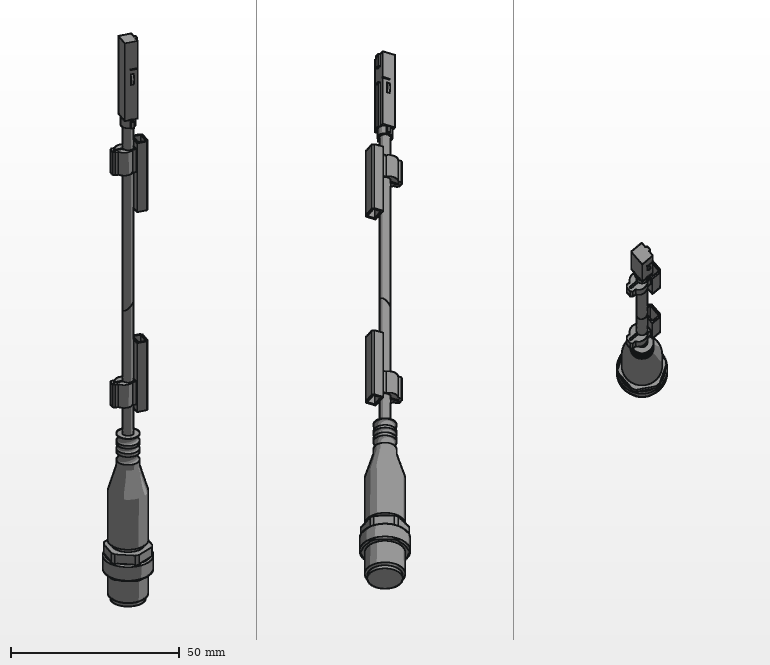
import cadquery as cq
import math

total_height = 188.3
cable_diameter = 3.4

break_height = 98.9
break_reach = cable_diameter / 2

head_width = 5.0
head_front = -2.0
head_back = 2.0
head_bottom = 162.1
ridge_width = 1.5
ridge_rise = 0.5
tip_ridge_bottom = 184.0
long_ridge_top = 178.1
dial_diameter = 6.2
dial_height = 175.7
slit_bottom = 178.9
slit_height = 0.2
slit_depth = 0.4
collar_diameter = 4.5
collar_bottom = 159.3
wing_span = 6.0
flange_front = -0.2
flange_back = 0.8
wing_bottom = 159.5
wing_top = 161.5

clip_length = 23.2
clip_width = 5.0
tube_front = 1.9
tube_back = 5.5
tube_wall = 0.5
tube_chamfer = 0.5
cuff_diameter = 5.5
cuff_center_y = -1.3
cuff_length = 7.7
cuff_inset = 2.3
stem_width = 3.8
tab_width = 2.8
tab_front = -5.3
tab_chamfer = 0.5
tab_slot_width = 0.5
tab_slot_front = -4.5
upper_clip_top = 153.8
lower_clip_bottom = 63.5

body_diameter = 12.0
boot_diameter = 7.0
boot_top = 55.5
groove_depth = 0.5
groove_spans = [(55.4, 53.1), (52.2, 50.5), (49.3, 46.7)]
cone_top = 44.8
cone_bottom = 36.3
grip_bottom = 19.5
neck_diameter = 9.6
hex_top = 18.0
hex_across_flats = 13.2
hex_corner_diameter = 14.5
coupling_top = 15.0
coupling_bottom = 9.5
coupling_diameter = 15.0
coupling_chamfer = 0.5
nose_chamfer_top = 1.7
nose_lip_height = 1.1
nose_diameter = 10.5


def box(x_min, x_max, y_min, y_max, z_min, z_max):
    """Axis-aligned box given by its limits."""
    return cq.Workplane("XY").box(
        x_max - x_min, y_max - y_min, z_max - z_min, centered=False
    ).translate((x_min, y_min, z_min))


def rod(diameter, z_min, z_max):
    """Cylinder on the Z axis."""
    return cq.Workplane("XY").workplane(offset=z_min).circle(diameter / 2).extrude(z_max - z_min)


def cable_piece(far_end):
    """Length of cable from far_end to the tilted break."""
    reach = break_reach
    outline = [
        (-reach, far_end),
        (reach, far_end),
        (reach, break_height + reach),
        (-reach, break_height - reach),
    ]
    wedge = cq.Workplane("YZ").polyline(outline).close().extrude(reach, both=True)
    z_min = min(far_end, break_height - reach)
    z_max = max(far_end, break_height + reach)
    return rod(cable_diameter, z_min, z_max).intersect(wedge)


def back_ridge(z_min, z_max):
    """Narrow raised strip along the back of the sensor head."""
    half = ridge_width / 2
    return box(-half, half, 0, head_back + ridge_rise, z_min, z_max)


def make_sensor():
    """Sensor head with collar, wings, dial and the upper part of the cable."""
    half = head_width / 2
    sensor = box(-half, half, head_front, head_back, head_bottom, total_height)
    sensor = sensor.union(back_ridge(tip_ridge_bottom, total_height))
    sensor = sensor.union(back_ridge(head_bottom, long_ridge_top))
    dial = (
        cq.Workplane("XZ", origin=(0, flange_back, dial_height))
        .circle(dial_diameter / 2)
        .extrude(flange_back - flange_front)
    )
    for side_min, side_max in [(-half, slit_depth - half), (half - slit_depth, half)]:
        slit = box(side_min, side_max, flange_front, head_back, slit_bottom, slit_bottom + slit_height)
        sensor = sensor.cut(slit)
    wings = box(-wing_span / 2, wing_span / 2, flange_front, flange_back, wing_bottom, wing_top)
    collar = rod(collar_diameter, collar_bottom, head_bottom)
    return sensor.union(dial).union(collar).union(wings).union(cable_piece(collar_bottom))


def make_clip():
    """Clip standing on Z = 0, with its cable cuff near the lower end."""
    half = clip_width / 2
    tube = box(-half, half, tube_front, tube_back, 0, clip_length)
    tube = tube.edges("|Z and >Y").chamfer(tube_chamfer)
    bore = box(
        tube_wall - half, half - tube_wall,
        tube_front + tube_wall, tube_back - tube_wall,
        0, clip_length,
    )
    cuff_end = cuff_inset + cuff_length
    cuff = rod(cuff_diameter, cuff_inset, cuff_end).translate((0, cuff_center_y, 0))
    stem = box(-stem_width / 2, stem_width / 2, cuff_center_y, tube_front, cuff_inset, cuff_end)
    tab = box(-tab_width / 2, tab_width / 2, tab_front, cuff_center_y, cuff_inset, cuff_end)
    tab = tab.edges("|Z and <Y").chamfer(tab_chamfer)
    tab_slot = box(-tab_slot_width / 2, tab_slot_width / 2, tab_slot_front, 0, cuff_inset, cuff_end)
    cable_hole = rod(cable_diameter, 0, clip_length)
    return tube.cut(bore).union(stem).union(cuff).union(tab).cut(tab_slot).cut(cable_hole)


def make_connector():
    """Boot, grip, coupling nut and nose of the connector with the lower part of the cable."""
    boot_radius = boot_diameter / 2
    body_radius = body_diameter / 2
    neck_radius = neck_diameter / 2
    nose_radius = nose_diameter / 2
    coupling_radius = coupling_diameter / 2

    profile = cq.Workplane("XZ").moveTo(0, boot_top).lineTo(boot_radius, boot_top)
    for groove_top, groove_bottom in groove_spans:
        profile = profile.lineTo(boot_radius, groove_top).threePointArc(
            (boot_radius - groove_depth, (groove_top + groove_bottom) / 2),
            (boot_radius, groove_bottom),
        )
    profile = (
        profile.lineTo(boot_radius, cone_top)
        .lineTo(body_radius, cone_bottom)
        .lineTo(body_radius, grip_bottom)
        .lineTo(neck_radius, grip_bottom)
        .lineTo(neck_radius, coupling_top)
        .lineTo(coupling_radius - coupling_chamfer, coupling_top)
        .lineTo(coupling_radius, coupling_top - coupling_chamfer)
        .lineTo(coupling_radius, coupling_bottom + coupling_chamfer)
        .lineTo(coupling_radius - coupling_chamfer, coupling_bottom)
        .lineTo(body_radius, coupling_bottom)
        .lineTo(body_radius, nose_chamfer_top)
        .lineTo(nose_radius, nose_lip_height)
        .lineTo(nose_radius, 0)
        .lineTo(0, 0)
        .close()
    )
    connector = profile.revolve(360, (0, 0, 0), (0, 1, 0))
    hexagon = (
        cq.Workplane("XY", origin=(0, 0, coupling_bottom))
        .polygon(6, hex_across_flats / math.cos(math.pi / 6))
        .extrude(hex_top - coupling_bottom)
        .intersect(rod(hex_corner_diameter, coupling_bottom, hex_top))
    )
    return connector.union(hexagon).union(cable_piece(boot_top))


sensor = make_sensor()
connector = make_connector()

clips = []
for end_height, turn in [(lower_clip_bottom, 0), (upper_clip_top, 180)]:
    clip = make_clip().rotate((0, 0, 0), (0, 1, 0), turn).translate((0, 0, end_height))
    clips.append(clip.val())

result = cq.Compound.makeCompound([sensor.val(), connector.val(), *clips])